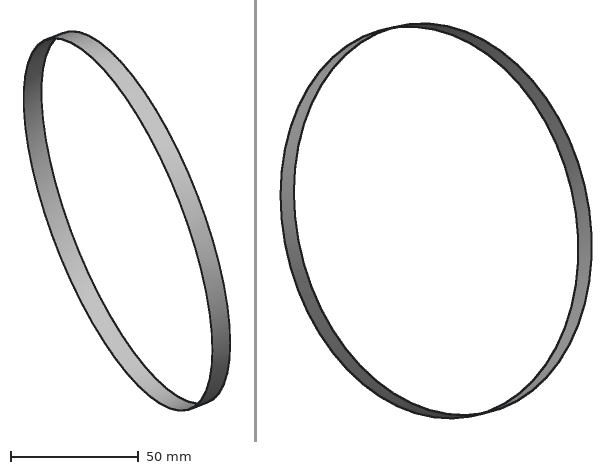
import cadquery as cq

outer_diameter = 155.5
band_width = 8.0
wall_thickness = 0.25

outer_radius = outer_diameter / 2
inner_radius = outer_radius - wall_thickness

result = (
    cq.Workplane("XZ", origin=(0, band_width / 2, 0))
    .circle(outer_radius)
    .circle(inner_radius)
    .extrude(band_width)
)